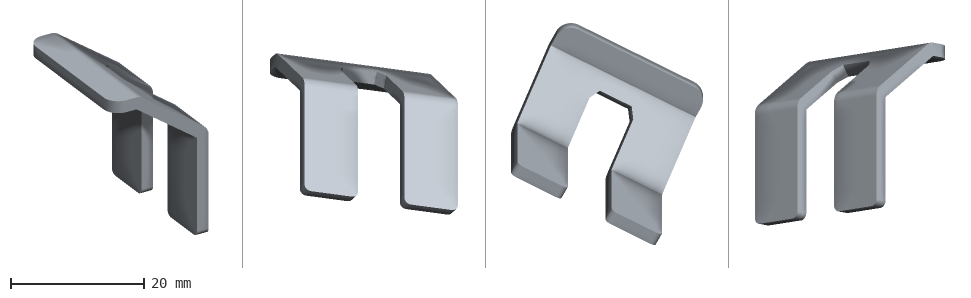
import cadquery as cq
import math

width = 24.6
depth = 16.92
height = 26.48
thickness = 2.0
leg_height = 16.75
lip_length = 4.2
lip_corner_radius = 2.52
leg_corner_radius = 1.0
slot_width = 7.41
slot_chamfer_across = 1.0
slot_chamfer_along = 1.7
slot_end_from_bend = 2.95

leg_inner_y = depth - thickness
lip_bottom_z = height - thickness
slope_angle = math.atan2(lip_bottom_z - leg_height, leg_inner_y - lip_length)
slope_y = math.cos(slope_angle)
slope_z = -math.sin(slope_angle)


def outer_bend_point(inner_y, inner_z, angle):
    """Point of the outer bend arc, which is centred on the sharp inner corner."""
    return (
        inner_y + thickness * math.cos(angle),
        inner_z + thickness * math.sin(angle),
    )


def bent_sheet():
    """Lip, sloped web and vertical leg with constant sheet thickness."""
    upright = math.pi / 2
    slope_normal = upright - slope_angle
    lower_bend = (leg_inner_y, leg_height)
    upper_bend = (lip_length, lip_bottom_z)
    return (
        cq.Workplane("YZ")
        .moveTo(leg_inner_y, 0)
        .lineTo(depth, 0)
        .lineTo(depth, leg_height)
        .threePointArc(
            outer_bend_point(*lower_bend, slope_normal / 2),
            outer_bend_point(*lower_bend, slope_normal),
        )
        .lineTo(*outer_bend_point(*upper_bend, slope_normal))
        .threePointArc(
            outer_bend_point(*upper_bend, (slope_normal + upright) / 2),
            outer_bend_point(*upper_bend, upright),
        )
        .lineTo(0, height)
        .lineTo(0, lip_bottom_z)
        .lineTo(*upper_bend)
        .lineTo(*lower_bend)
        .close()
        .extrude(width / 2, both=True)
    )


def web_slot():
    """Slot through the web, square to it, with a chamfered closed end."""
    web_plane = cq.Plane(
        origin=(0, lip_length, lip_bottom_z),
        xDir=(1, 0, 0),
        normal=(0, -slope_z, slope_y),
    )
    half_width = slot_width / 2
    half_end = half_width - slot_chamfer_across
    chamfer_start = slot_end_from_bend + slot_chamfer_along
    open_end = depth + height
    return (
        cq.Workplane(web_plane)
        .polyline([
            (-half_end, slot_end_from_bend),
            (half_end, slot_end_from_bend),
            (half_width, chamfer_start),
            (half_width, open_end),
            (-half_width, open_end),
            (-half_width, chamfer_start),
        ])
        .close()
        .extrude(height, both=True)
    )


leg_slot = cq.Workplane("XY").box(slot_width, 2 * thickness, leg_height, centered=(True, True, False))
leg_slot = leg_slot.translate((0, depth - thickness / 2, 0))

result = bent_sheet().cut(web_slot()).cut(leg_slot)
result = result.faces("<Y").edges("|Z").fillet(lip_corner_radius)
result = result.faces("<Z").edges("|Y").fillet(leg_corner_radius)